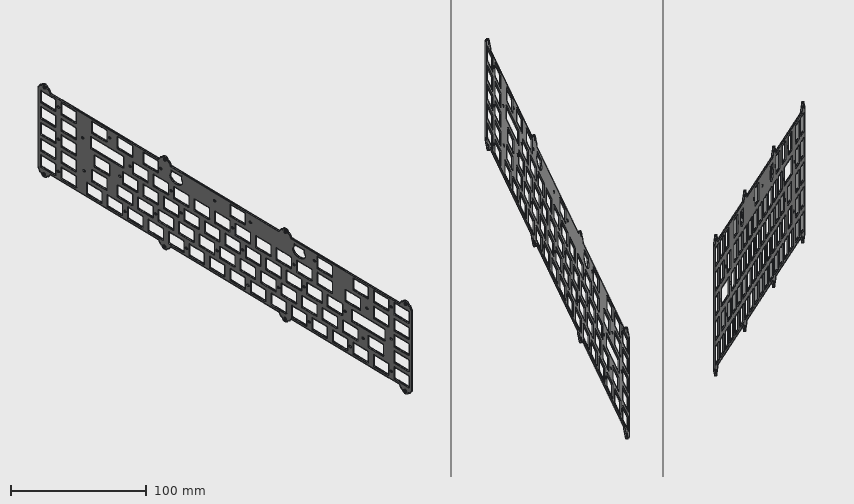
import cadquery as cq

PLATE_LENGTH = 347.5
THICKNESS = 1.2
OVERALL_HEIGHT = 109.0
COLUMNS = 18.25
ROWS = 5
PITCH = PLATE_LENGTH / COLUMNS
PLATE_HEIGHT = ROWS * PITCH

KEY_SIZE = 14.3
WIDE_KEY_LENGTH = 31.0
KEY_CORNER_RADIUS = 0.7
SCREW_HOLE_DIAMETER = 2.0
KNOB_HOLE_RADIUS = 6.0
KNOB_HOLE_DROP = 1.5
KNOB_NOTCH_WIDTH = 9.7
KNOB_NOTCH_HEIGHT = 5.2

TAB_REACH = (OVERALL_HEIGHT - PLATE_HEIGHT) / 2
TAB_BASE_WIDTH = 11.0
TAB_SHOULDER_WIDTH = 8.5
TAB_SHOULDER_HEIGHT = 3.5
TAB_TIP_RADIUS = 2.5
TAB_OVERLAP = 0.5
TAB_COUNT = 4
TAB_SPACING = 112.0
TAB_SLOT_WIDTH = 2.0
TAB_SLOT_LENGTH = 3.0
TAB_SLOT_HEIGHT = 3.8


def run(first, last):
    """Key columns one pitch apart, from first to last inclusive."""
    return [first + step for step in range(round(last - first) + 1)]


KEY_COLUMNS = [
    [0, 1, 2.5, 3.75, 5, 9.25, 13.5, 15.25, 16.25, 17.25],
    run(0, 1) + run(4.5, 13.5) + [14.875, 16.25, 17.25],
    run(0, 1) + [2.625] + run(4, 14) + [17.25],
    run(0, 1) + [2.5] + run(3.75, 14.75) + [16, 17.25],
    run(0, 1) + run(2.25, 17.25),
]
WIDE_KEY_COLUMNS = [[], [2.875], [15.625], [], []]
KNOB_COLUMNS = [[6.25, 12.25], [], [], [], []]
SCREW_COLUMNS = [
    [0.5, 3, 5.5, 8.125, 9.875, 13, 16.75],
    [1.6875, 4, 6, 9, 12, 15.5625],
    [0.5, 3.5, 6.5, 9.5, 12.5, 14.5, 16.75],
    [1.75, 5.25, 8.25, 11.25, 15.375],
    [0.5, 3.75, 6.75, 9.75, 12.75, 14.75, 16.75],
]


def centres(columns_by_row):
    """Turn column positions into (x, z) points with the plate centred on the origin."""
    return [
        ((column - (COLUMNS - 1) / 2) * PITCH, ((ROWS - 1) / 2 - row) * PITCH)
        for row, columns in enumerate(columns_by_row)
        for column in columns
    ]


def front_plane():
    """Sketch plane with X to the right and Z up."""
    return cq.Workplane("XZ")


def through(sketch):
    """Extrude an outline through the plate thickness, centred on Y = 0."""
    return sketch.extrude(THICKNESS / 2, both=True)


def rounded_cutouts(columns_by_row, length):
    """Key openings of the given length with rounded corners."""
    cutouts = through(front_plane().pushPoints(centres(columns_by_row)).rect(length, KEY_SIZE))
    return cutouts.edges("|Y").fillet(KEY_CORNER_RADIUS)


def knob_cutouts():
    """Round holes whose upper corners are squared out by a notch."""
    row_centres = centres(KNOB_COLUMNS)
    hole_points = [(x, z - KNOB_HOLE_DROP) for x, z in row_centres]
    notch_points = [(x, z + KNOB_NOTCH_HEIGHT / 2) for x, z in row_centres]
    holes = through(front_plane().pushPoints(hole_points).circle(KNOB_HOLE_RADIUS))
    notches = through(front_plane().pushPoints(notch_points).rect(KNOB_NOTCH_WIDTH, KNOB_NOTCH_HEIGHT))
    return holes.union(notches)


def screw_holes():
    return through(front_plane().pushPoints(centres(SCREW_COLUMNS)).circle(SCREW_HOLE_DIAMETER / 2))


def mounting_tab(x):
    """Tapered tab with a round tip and an upright slot, on the upper plate edge."""
    edge = PLATE_HEIGHT / 2
    tip_centre = edge + TAB_REACH - TAB_TIP_RADIUS
    tab = through(
        front_plane()
        .moveTo(x - TAB_BASE_WIDTH / 2, edge - TAB_OVERLAP)
        .lineTo(x - TAB_BASE_WIDTH / 2, edge)
        .lineTo(x - TAB_SHOULDER_WIDTH / 2, edge + TAB_SHOULDER_HEIGHT)
        .lineTo(x - TAB_TIP_RADIUS, tip_centre)
        .threePointArc((x, edge + TAB_REACH), (x + TAB_TIP_RADIUS, tip_centre))
        .lineTo(x + TAB_SHOULDER_WIDTH / 2, edge + TAB_SHOULDER_HEIGHT)
        .lineTo(x + TAB_BASE_WIDTH / 2, edge)
        .lineTo(x + TAB_BASE_WIDTH / 2, edge - TAB_OVERLAP)
        .close()
    )
    slot = front_plane().center(x, edge + TAB_SLOT_HEIGHT).slot2D(TAB_SLOT_LENGTH, TAB_SLOT_WIDTH, 90)
    return tab.cut(through(slot))


result = through(front_plane().rect(PLATE_LENGTH, PLATE_HEIGHT))

for index in range(TAB_COUNT):
    tab = mounting_tab((index - (TAB_COUNT - 1) / 2) * TAB_SPACING)
    result = result.union(tab).union(tab.mirror("XY"))

result = result.cut(rounded_cutouts(KEY_COLUMNS, KEY_SIZE))
result = result.cut(rounded_cutouts(WIDE_KEY_COLUMNS, WIDE_KEY_LENGTH))
result = result.cut(knob_cutouts())
result = result.cut(screw_holes())